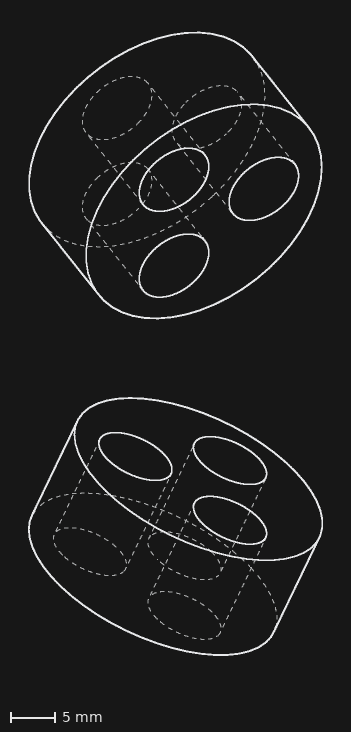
import cadquery as cq

disc_diameter = 30.5
disc_thickness = 13.5
hole_diameter = 9.0
hole_circle_radius = 7.75
hole_count = 3

disc = cq.Workplane("YZ").circle(disc_diameter / 2).extrude(disc_thickness)

holes = (
    cq.Workplane("YZ")
    .polarArray(hole_circle_radius, 0, 360, hole_count)
    .circle(hole_diameter / 2)
    .extrude(disc_thickness)
)

result = disc.cut(holes)